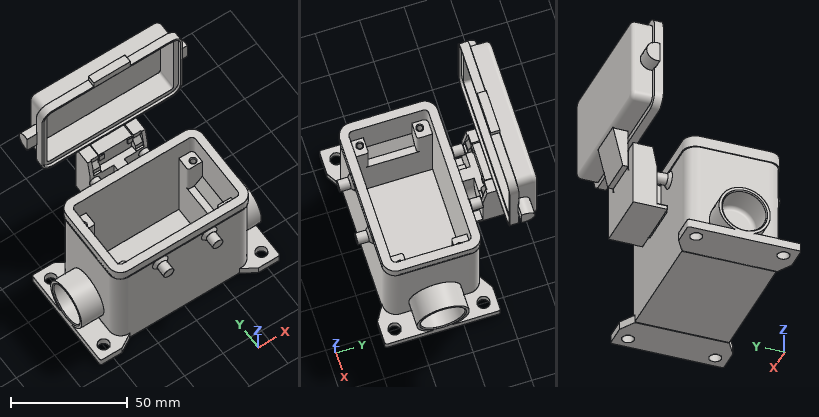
import cadquery as cq

total_length = 93.5

body_length, body_width = 70.4, 43.4
body_bottom, body_top = 0.4, 57.0
collar_length, collar_width, collar_height = 71.2, 44.2, 5.5
body_corner = 6.0
cavity_length, cavity_width, cavity_corner = 63.0, 35.8, 2.0
floor_thickness = 3.0

post_length, post_width, post_corner = 7.4, 7.0, 1.0
post_top = 45.3
post_hole_x, post_hole_y = 28.5, 13.5
post_hole_diameter, post_hole_depth, post_hole_mouth = 2.5, 10.0, 3.4
shelf_top, shelf_flat = 29.1, 3.3

plate_thickness, plate_width = 4.0, 52.0
plate_inner_x, plate_root_x = 35.5, 28.5
plate_edge_round = 1.0
plate_hole_x, plate_hole_y, plate_hole_diameter = 41.0, 20.0, 5.5

entry_radius, entry_bore_radius, entry_z = 11.75, 10.0, 14.85
entry_bore_depth, entry_bore_round, entry_mouth_chamfer = 13.2, 2.0, 0.5

pin_x, pin_z, pin_radius, pin_end_y = 12.75, 47.5, 2.6, 28.2
pin_foot_radius, pin_foot_y = 4.0, 23.2

bracket_width, bracket_wall = 30.0, 2.0
bracket_back, bracket_front, bracket_top_front = 39.0, 28.0, 29.9
bracket_bottom, bracket_top, bracket_slope_z = 30.4, 61.5, 51.7
tongue_y, tongue_thickness = 23.3, 1.9
slot_width = 18.2
cheek_front, cheek_ledge_front, cheek_notch_back = 30.4, 29.0, 32.3
notch_top, notch_bottom = 59.0, 54.3

rib_thickness, rib_top = 5.5, 51.1
slot_floor = rib_top
rib_bottom, rib_base_top, rib_fillet = 32.3, 35.5, 7.6

lid_z = 91.75
rim_length, rim_height, rim_corner = 73.0, 46.0, 6.0
lid_front, rim_back, lid_back = 33.3, 37.4, 46.8
shell_inset, shell_round = 2.5, 2.0
lid_cavity_length, lid_cavity_height, lid_cavity_corner = 65.8, 38.8, 1.5
lid_cavity_floor = 44.6
seal_inset, seal_depth = 1.0, 1.3
tab_width, tab_height = 19.0, 3.0
ear_span, ear_radius, ear_y, ear_front = 83.4, 4.7, 38.3, 36.9

arm_width, arm_front, arm_root_z, arm_root_y = 18.0, 39.2, 72.5, 46.2
arm_tip_y, arm_tip_z = 41.5, 52.8
lug_width, lug_top = 17.4, 61.0
lug_front, lug_undercut = 30.8, 0.5
lug_pad_inner_x, lug_pad_top, lug_pad_bottom, lug_pad_front = 6.2, 60.5, 57.0, 30.2


def block(x0, x1, y0, y1, z0, z1):
    return cq.Workplane("XY").box(x1 - x0, y1 - y0, z1 - z0, centered=False).translate((x0, y0, z0))


def upright_block(length, width, corner, z0, z1):
    outline = cq.Workplane("XY").workplane(offset=z0).rect(length, width)
    return outline.extrude(z1 - z0).edges("|Z").fillet(corner)


def lid_block(length, height, corner, y0, y1):
    slab = cq.Workplane("XZ").center(0, lid_z).rect(length, height).extrude(y0 - y1)
    return slab.edges("|Y").fillet(corner).translate((0, y0, 0))


def across_x(points, width, x_centre=0.0):
    """Prism of a (y, z) outline, centred along X on x_centre."""
    prism = cq.Workplane("YZ").polyline(points).close().extrude(width / 2, both=True)
    return prism.translate((x_centre, 0, 0))


def both_ends(right_half):
    return right_half.union(right_half.mirror("YZ"))


def housing():
    collar_bottom = body_top - collar_height
    shell = upright_block(body_length, body_width, body_corner, body_bottom, collar_bottom)
    collar = upright_block(collar_length, collar_width, body_corner, collar_bottom, body_top)
    return shell.union(collar)


def mounting_plate():
    half_length, half_width, root_y = total_length / 2, plate_width / 2, body_width / 2
    outline = [
        (plate_root_x, root_y),
        (plate_inner_x, half_width),
        (half_length, half_width),
        (half_length, -half_width),
        (plate_inner_x, -half_width),
        (plate_root_x, -root_y),
    ]
    plate = cq.Workplane("XY").polyline(outline).close().extrude(plate_thickness)
    plate = plate.edges("|Z and >X").fillet(plate_edge_round)
    holes = cq.Workplane("XY").pushPoints([(plate_hole_x, plate_hole_y), (plate_hole_x, -plate_hole_y)])
    return plate.cut(holes.circle(plate_hole_diameter / 2).extrude(plate_thickness))


def cable_entry():
    start_x = cavity_length / 2
    tube = cq.Workplane("YZ").workplane(offset=start_x).center(0, entry_z).circle(entry_radius)
    return tube.extrude(total_length / 2 - start_x)


def cable_entry_bore():
    """Blind bore with a rounded bottom that leaves a knock-out wall."""
    mouth_x = total_length / 2
    bore = cq.Workplane("YZ").workplane(offset=mouth_x - entry_bore_depth).center(0, entry_z)
    bore = bore.circle(entry_bore_radius).extrude(entry_bore_depth)
    bore = bore.faces("<X").edges().fillet(entry_bore_round)
    mouth = cq.Workplane("YZ").workplane(offset=mouth_x).center(0, entry_z)
    mouth = mouth.circle(entry_bore_radius + entry_mouth_chamfer).workplane(offset=-entry_mouth_chamfer)
    return bore.union(mouth.circle(entry_bore_radius).loft())


def insert_support():
    """Two drilled posts with a shelf between them that slopes up to the end wall."""
    wall_x, wall_y = cavity_length / 2, cavity_width / 2
    inner_x = wall_x - post_length
    slope_x = inner_x + shelf_flat
    outline = [
        (inner_x, body_bottom),
        (wall_x, body_bottom),
        (wall_x, shelf_top + wall_x - slope_x),
        (slope_x, shelf_top),
        (inner_x, shelf_top),
    ]
    support = cq.Workplane("XZ").polyline(outline).close().extrude(wall_y, both=True)
    for side in (1, -1):
        near_y, far_y = sorted((side * (wall_y - post_width), side * wall_y))
        post = block(inner_x, wall_x, near_y, far_y, body_bottom, post_top)
        inner_edge = "<X and <Y" if side > 0 else "<X and >Y"
        post = post.edges("|Z").edges(inner_edge).fillet(post_corner)
        hole = cq.Workplane("XY").workplane(offset=post_top).center(post_hole_x, side * post_hole_y)
        bore = hole.circle(post_hole_diameter / 2).extrude(-post_hole_depth)
        mouth = hole.circle(post_hole_mouth / 2).workplane(offset=-(post_hole_mouth - post_hole_diameter) / 2)
        mouth = mouth.circle(post_hole_diameter / 2).loft()
        support = support.union(post).cut(bore).cut(mouth)
    return support.intersect(housing())


def locking_pin(x):
    """Pin with a conical foot on the front wall."""
    wall_y = body_width / 2
    root_y = cavity_width / 2
    profile = [
        (0, -root_y),
        (pin_foot_radius, -root_y),
        (pin_foot_radius, -wall_y),
        (pin_radius, -pin_foot_y),
        (pin_radius, -pin_end_y),
        (0, -pin_end_y),
    ]
    pin = cq.Workplane("XY").polyline(profile).close().revolve(360, (0, 0, 0), (0, 1, 0))
    return pin.translate((x, 0, pin_z))


def hinge_bracket():
    tongue_top = bracket_bottom + tongue_thickness
    outline = [
        (bracket_back, bracket_bottom),
        (tongue_y, bracket_bottom),
        (tongue_y, tongue_top),
        (bracket_front, tongue_top),
        (bracket_front, bracket_slope_z),
        (bracket_top_front, bracket_top),
        (bracket_back, bracket_top),
    ]
    bracket = across_x(outline, bracket_width)
    slot = block(-slot_width / 2, slot_width / 2, tongue_y, bracket_back, slot_floor, bracket_top)
    bracket = bracket.cut(slot)
    wall_inside = bracket_width / 2 - bracket_wall
    notch_width = wall_inside - slot_width / 2
    notch_outline = [
        (tongue_y, bracket_slope_z),
        (cheek_ledge_front, bracket_slope_z),
        (cheek_ledge_front, notch_bottom),
        (cheek_notch_back, notch_top),
        (cheek_front, notch_top),
        (cheek_front, bracket_top),
        (tongue_y, bracket_top),
    ]
    notch = across_x(notch_outline, notch_width, wall_inside - notch_width / 2)
    return bracket.cut(both_ends(notch))


def support_rib():
    """Upright rib flaring through two concave rounds into a wide base."""
    half_rib = rib_thickness / 2
    half_base = half_rib + rib_fillet
    round_top = rib_base_top + rib_fillet
    middle = rib_fillet * (1 - 0.5**0.5)
    profile = cq.Workplane("XZ").moveTo(-half_base, rib_bottom).lineTo(half_base, rib_bottom)
    profile = profile.lineTo(half_base, rib_base_top)
    profile = profile.threePointArc((half_rib + middle, rib_base_top + middle), (half_rib, round_top))
    profile = profile.lineTo(half_rib, rib_top).lineTo(-half_rib, rib_top).lineTo(-half_rib, round_top)
    profile = profile.threePointArc((-half_rib - middle, rib_base_top + middle), (-half_base, rib_base_top))
    root_y = cavity_width / 2
    return profile.close().extrude(root_y - bracket_front).translate((0, root_y, 0))


def lid():
    rim = lid_block(rim_length, rim_height, rim_corner, lid_front, rim_back)
    shell = lid_block(
        rim_length - 2 * shell_inset,
        rim_height - 2 * shell_inset,
        rim_corner - shell_inset,
        lid_front,
        lid_back,
    )
    shell = shell.faces(">Y").edges().fillet(shell_round)
    rim_top = lid_z + rim_height / 2
    tab = block(-tab_width / 2, tab_width / 2, lid_front, rim_back, lid_z, rim_top + tab_height)
    ears = cq.Workplane("YZ").center(ear_y, lid_z).circle(ear_radius).extrude(ear_span / 2, both=True)
    ears = ears.cut(block(-ear_span, ear_span, 0, ear_front, 0, 2 * lid_z))
    seal_recess = lid_block(
        rim_length - 2 * seal_inset,
        rim_height - 2 * seal_inset,
        rim_corner - seal_inset,
        lid_front,
        lid_front + seal_depth,
    )
    cavity = lid_block(
        lid_cavity_length, lid_cavity_height, lid_cavity_corner, lid_front, lid_cavity_floor
    )
    return rim.union(shell).union(tab).union(ears).union(hinge_arm()).cut(seal_recess).cut(cavity)


def hinge_arm():
    """Tapered arm hanging from the back of the lid, with an undercut lug standing in the bracket slot."""
    arm_outline = [
        (arm_root_y, arm_root_z),
        (arm_tip_y, arm_tip_z),
        (bracket_back, arm_tip_z),
        (bracket_back, lug_top),
        (arm_front, lug_top),
        (arm_front, arm_root_z),
    ]
    arm = across_x(arm_outline, arm_width)
    lug_outline = [
        (bracket_back, slot_floor),
        (lug_front + lug_undercut, slot_floor),
        (lug_front, lug_top),
        (bracket_back, lug_top),
    ]
    pad = block(lug_pad_inner_x, lug_width / 2, lug_pad_front, bracket_back, lug_pad_bottom, lug_pad_top)
    return arm.union(across_x(lug_outline, lug_width)).union(both_ends(pad))


result = housing()
result = result.union(both_ends(mounting_plate())).union(both_ends(cable_entry()))
cavity_bottom = body_bottom + floor_thickness
result = result.cut(upright_block(cavity_length, cavity_width, cavity_corner, cavity_bottom, body_top))
result = result.union(both_ends(insert_support())).cut(both_ends(cable_entry_bore()))
for x in (-pin_x, pin_x):
    pin = locking_pin(x)
    result = result.union(pin).union(pin.mirror("XZ"))
result = result.union(support_rib()).union(hinge_bracket()).union(lid())